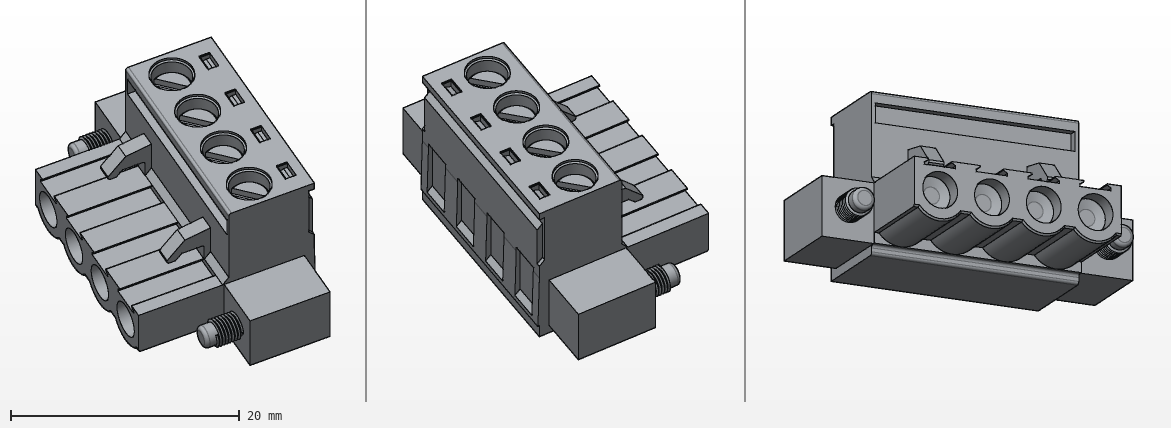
import cadquery as cq


overall_length = 30
pole_count = 4
pitch = overall_length / (pole_count + 2)
body_length = pole_count * pitch
pole_positions = [(i - (pole_count - 1) / 2) * pitch for i in range(pole_count)]
ear_center = (body_length + pitch) / 2

body_top = 15.1
body_front = 8.85
body_back = 17.25
edge_radius = 0.27

plug_bottom = 0.9
plug_top = 6.48
step_front = 8.25
step_rise = 0.7
socket_height = 3.72

scallop_half_width = 2.07
web_height = 1.9
tip_chamfer_length = 0.15
tip_chamfer_height = 0.18

socket_radius = 1.68
socket_bottom_radius = 0.78
socket_straight_depth = 1.6
socket_cone_depth = 0.25

groove_depth = 0.6
groove_lip_height = 0.12
groove_undercut_height = 0.25
groove_half_width = 1.5
groove_throat_half_width = 1.1
groove_mouth_half_width = 1.15

ear_front = 8.4
ear_back = 16.25
thread_radius = 1.3
thread_pitch = 0.3
thread_ridge_width = 0.27
thread_overlap = 0.05
thread_end = 5.97
screw_shank_radius = 1.05
screw_tip_end = 4.85
screw_tip_rounding = 0.35

hook_spacing = 11.45
hook_width = 1.47
hook_root_top = 10.15
hook_bend_y = 6.33
hook_bend_top = 9.75
hook_tip_y = 4.6
hook_tip_top = 7.98
hook_tip_bottom = 7.6
hook_tip_length = 0.8
hook_tip_chamfer = 0.15
hook_leg_front = 8.22
hook_underside = 8.22
hook_corner_radius = 0.27

label_length = 19.25
label_bottom = 12.18
label_top = 14.0
label_depth = 0.78
back_recess_depth = 0.55
back_recess_bottom = 8.65
back_recess_top = 14.35
back_plate_top = 12.78

bulge_depth = 0.15
bulge_bottom = 1.32
bulge_top = 7.2

entry_width = 2.9
entry_bottom = 1.8
entry_top = 7.8
entry_depth = 0.55

well_y = 12.12
well_rim_radius = 2.0
well_rim_depth = 0.25
well_radius = 1.83
well_chamfer = 0.1
screw_head_depth = 1.5
screw_head_chamfer = 0.15
screw_slot_width = 0.8
screw_slot_depth = 0.65
screw_slot_angle = 45

window_width = 1.8
window_front = 15.25
window_back = 16.25
window_ledge = 0.1
window_ledge_depth = 0.12
window_ridge = 15.9
window_depth = 0.6
window_slope_drop = 0.2


def block(length, y_front, y_back, z_bottom, z_top, x_center=0):
    """Box given by its length in X and its limits in Y and Z."""
    size = (length, y_back - y_front, z_top - z_bottom)
    middle = (x_center, (y_front + y_back) / 2, (z_bottom + z_top) / 2)
    return cq.Workplane("XY").box(*size).translate(middle)


def bar(points, length, x_center=0):
    """Prism along X from an outline of (y, z) points."""
    outline = cq.Workplane("YZ").polyline(points).close()
    return outline.extrude(length / 2, both=True).translate((x_center, 0, 0))


def make_body():
    side_outline = (
        cq.Workplane("YZ")
        .moveTo(body_back, 0)
        .lineTo(body_front + edge_radius, 0)
        .radiusArc((body_front, edge_radius), edge_radius)
        .lineTo(body_front, plug_bottom - edge_radius)
        .radiusArc((body_front - edge_radius, plug_bottom), -edge_radius)
        .lineTo(step_front, plug_bottom)
        .lineTo(step_front, plug_top)
        .lineTo(body_front, plug_top + step_rise)
        .lineTo(body_front, body_top - edge_radius)
        .radiusArc((body_front + edge_radius, body_top), edge_radius)
        .lineTo(body_back, body_top)
        .close()
    )
    body = side_outline.extrude(body_length / 2, both=True)
    bulge = bar(
        [
            (body_back, bulge_bottom),
            (body_back + bulge_depth, bulge_bottom),
            (body_back, bulge_top),
        ],
        body_length,
    )
    return body.union(bulge)


def cut_label_strips(body):
    front_pocket = block(label_length, body_front, body_front + label_depth, label_bottom, label_top)
    recess_floor = body_back - back_recess_depth
    back_recess = bar(
        [
            (body_back, back_recess_bottom),
            (recess_floor, back_recess_bottom + back_recess_depth),
            (recess_floor, back_recess_top),
            (body_back, back_recess_top),
        ],
        body_length,
    )
    back_plate = bar(
        [
            (body_back, back_recess_bottom),
            (recess_floor, back_recess_bottom),
            (recess_floor, back_plate_top + back_recess_depth),
            (body_back, back_plate_top),
        ],
        label_length,
    )
    return body.cut(front_pocket).cut(back_recess).union(back_plate)


def make_plug():
    outline = cq.Workplane("XZ").moveTo(-body_length / 2, plug_top).lineTo(-body_length / 2, web_height)
    for x in pole_positions:
        outline = outline.lineTo(x - scallop_half_width, web_height).threePointArc(
            (x, plug_bottom), (x + scallop_half_width, web_height)
        )
    outline = outline.lineTo(body_length / 2, web_height).lineTo(body_length / 2, plug_top).close()
    plug = outline.extrude(-step_front)

    margin = 0.03
    lower_tip = cq.selectors.BoxSelector(
        (-body_length, -margin, 0), (body_length, margin, web_height + margin)
    )
    return plug.edges(lower_tip).chamfer(tip_chamfer_length, tip_chamfer_height)


def make_socket():
    cone_end = socket_straight_depth + socket_cone_depth
    return (
        cq.Workplane("XY")
        .polyline(
            [
                (0, 0),
                (socket_radius, 0),
                (socket_radius, socket_straight_depth),
                (socket_bottom_radius, cone_end),
                (0, cone_end),
            ]
        )
        .close()
        .revolve(360, (0, 0), (0, 1))
        .translate((0, 0, socket_height))
    )


def make_groove():
    floor = plug_top - groove_depth
    throat = plug_top - groove_lip_height
    undercut = throat - groove_undercut_height
    right_side = [
        (groove_half_width, floor),
        (groove_half_width, undercut),
        (groove_throat_half_width, throat),
        (groove_mouth_half_width, plug_top),
    ]
    left_side = [(-x, z) for x, z in reversed(right_side)]
    return cq.Workplane("XZ").polyline(right_side + left_side).close().extrude(-step_front)


def make_ear_screw():
    thread_length = ear_front - thread_end
    shank_length = ear_front - screw_tip_end
    shank = cq.Workplane("XY").circle(screw_shank_radius).extrude(shank_length)
    shank = shank.faces(">Z").edges().fillet(screw_tip_rounding)

    half_ridge = thread_ridge_width / 2
    helix = cq.Wire.makeHelix(thread_pitch, thread_length, screw_shank_radius)
    ridge = (
        cq.Workplane("XZ")
        .polyline(
            [
                (screw_shank_radius - thread_overlap, -half_ridge),
                (thread_radius, 0),
                (screw_shank_radius - thread_overlap, half_ridge),
            ]
        )
        .close()
        .sweep(cq.Workplane(obj=helix), isFrenet=True)
    )
    screw = shank.union(ridge)
    return screw.rotate((0, 0, 0), (1, 0, 0), 90).translate((0, ear_front, socket_height))


def make_hook(x_center):
    catch_y = hook_tip_y + hook_tip_length
    catch_rise = hook_underside - hook_tip_bottom
    hook = bar(
        [
            (body_front, hook_root_top),
            (hook_bend_y, hook_bend_top),
            (hook_tip_y, hook_tip_top),
            (hook_tip_y, hook_tip_bottom + hook_tip_chamfer),
            (hook_tip_y + hook_tip_chamfer, hook_tip_bottom),
            (catch_y, hook_tip_bottom),
            (catch_y + catch_rise, hook_underside),
            (hook_leg_front, hook_underside),
            (hook_leg_front, plug_top),
            (body_front, plug_top),
        ],
        hook_width,
        x_center,
    )
    inner_corner = cq.selectors.NearestToPointSelector((x_center, hook_leg_front, hook_underside))
    return hook.edges("|X").edges(inner_corner).fillet(hook_corner_radius)


def make_well():
    rim_floor = body_top - well_rim_depth
    head_top = body_top - screw_head_depth
    well = (
        cq.Workplane("XZ")
        .polyline(
            [
                (0, body_top),
                (well_rim_radius, body_top),
                (well_rim_radius, rim_floor),
                (well_radius, rim_floor - well_chamfer),
                (well_radius, head_top - screw_head_chamfer),
                (well_radius - screw_head_chamfer, head_top),
                (0, head_top),
            ]
        )
        .close()
        .revolve(360, (0, 0), (0, 1))
    )
    head = cq.Workplane("XY", origin=(0, 0, head_top)).circle(well_radius).extrude(-screw_slot_depth)
    slot = (
        cq.Workplane("XY", origin=(0, 0, head_top))
        .rect(2 * well_rim_radius, screw_slot_width)
        .extrude(-screw_slot_depth)
        .rotate((0, 0, 0), (0, 0, 1), screw_slot_angle)
    )
    return well.union(slot.intersect(head)).translate((0, well_y, 0))


def make_window():
    mouth = block(window_width, window_front, window_back, body_top - window_ledge_depth, body_top)
    floor = body_top - window_depth
    shaft_front = window_front + window_ledge
    shaft = bar(
        [
            (shaft_front, body_top),
            (shaft_front, floor - window_slope_drop),
            (window_ridge, floor),
            (window_back, floor),
            (window_back, body_top),
        ],
        window_width - 2 * window_ledge,
    )
    return mouth.union(shaft)


def make_wire_entry():
    mouth = body_back + bulge_depth
    floor = mouth - entry_depth
    return bar(
        [
            (mouth, entry_bottom),
            (floor, entry_bottom + entry_depth),
            (floor, entry_top - entry_depth),
            (mouth, entry_top),
        ],
        entry_width,
    )


result = cut_label_strips(make_body()).union(make_plug())
for x in pole_positions:
    for cutter in (make_socket(), make_groove(), make_well(), make_window(), make_wire_entry()):
        result = result.cut(cutter.translate((x, 0, 0)))

for side in (-1, 1):
    ear = block(pitch, ear_front, ear_back, plug_bottom, plug_top, side * ear_center)
    screw = make_ear_screw().translate((side * ear_center, 0, 0))
    result = result.union(ear).union(screw).union(make_hook(side * hook_spacing / 2))